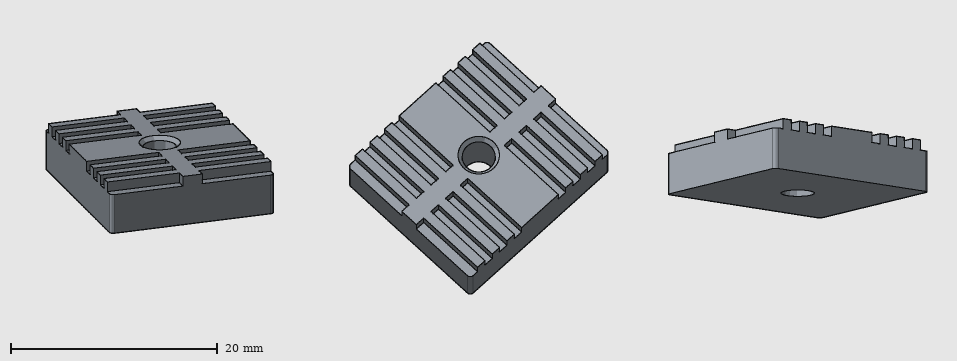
import cadquery as cq

length = 19.0
width = 16.8
height = 5.0
corner_radius = 0.4

groove_width = 1.0
groove_pitch = 2.0
groove_depth = 1.0
grooves_per_side = 4
rib_width = 2.0
groove_length = (width - rib_width) / 2

hole_diameter = 3.2
hole_mouth_diameter = 4.0
hole_chamfer = (hole_mouth_diameter - hole_diameter) / 2


def make_block():
    """Block standing on Z = 0, centred on X and Y, with rounded upright edges."""
    block = cq.Workplane("XY").box(length, width, height, centered=(True, True, False))
    return block.edges("|Z").fillet(corner_radius)


def groove_centres():
    """Centres of all grooves; the outermost ones open onto the side faces."""
    centre_y = (rib_width + groove_length) / 2
    centres = []
    for index in range(grooves_per_side):
        centre_x = (length - groove_width) / 2 - index * groove_pitch
        for x_side in (-1, 1):
            for y_side in (-1, 1):
                centres.append((x_side * centre_x, y_side * centre_y))
    return centres


def make_grooves():
    """Cutting bodies of all grooves, reaching down from the top face."""
    return (
        cq.Workplane("XY")
        .workplane(offset=height - groove_depth)
        .pushPoints(groove_centres())
        .rect(groove_width, groove_length)
        .extrude(groove_depth)
    )


def make_hole():
    """Cutting body of the through hole, with a 45 degree cone at the top."""
    hole_radius = hole_diameter / 2
    mouth_radius = hole_mouth_diameter / 2
    profile = [
        (0, 0),
        (hole_radius, 0),
        (hole_radius, height - hole_chamfer),
        (mouth_radius, height),
        (0, height),
    ]
    return cq.Workplane("XZ").polyline(profile).close().revolve(360, (0, 0), (0, 1))


result = make_block().cut(make_grooves()).cut(make_hole())